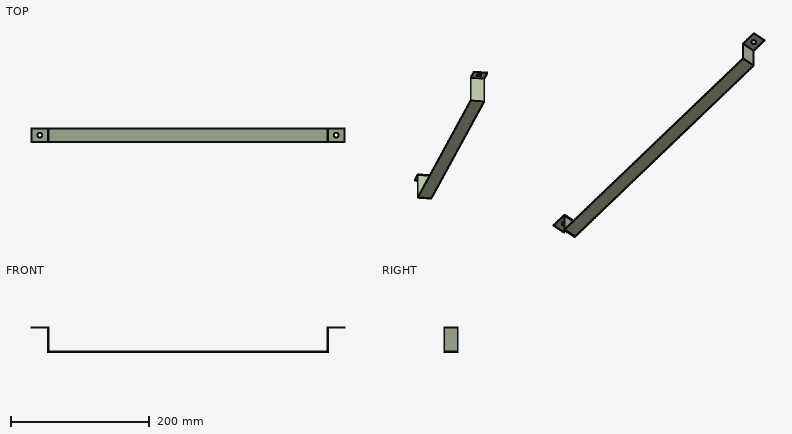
import cadquery as cq

length = 452.0
width = 20.0
height = 36.0

thickness = 1.0

tab_length = 24.0
hole_diameter = 7.0
hole_end_distance = 12.0

half_length = length / 2
half_width = width / 2
leg_outer_x = half_length - tab_length
leg_inner_x = leg_outer_x - thickness


def make_strip():
    """Bent strip, centred in X and Y, with its base resting on Z = 0."""
    profile = [
        (-half_length, height),
        (-leg_inner_x, height),
        (-leg_inner_x, thickness),
        (leg_inner_x, thickness),
        (leg_inner_x, height),
        (half_length, height),
        (half_length, height - thickness),
        (leg_outer_x, height - thickness),
        (leg_outer_x, 0),
        (-leg_outer_x, 0),
        (-leg_outer_x, height - thickness),
        (-half_length, height - thickness),
    ]
    return cq.Workplane("XZ").polyline(profile).close().extrude(half_width, both=True)


def make_tab_holes():
    """Vertical cutters for the screw hole in each tab."""
    hole_x = half_length - hole_end_distance
    return (
        cq.Workplane("XY")
        .pushPoints([(-hole_x, 0), (hole_x, 0)])
        .circle(hole_diameter / 2)
        .extrude(height)
    )


result = make_strip().cut(make_tab_holes())